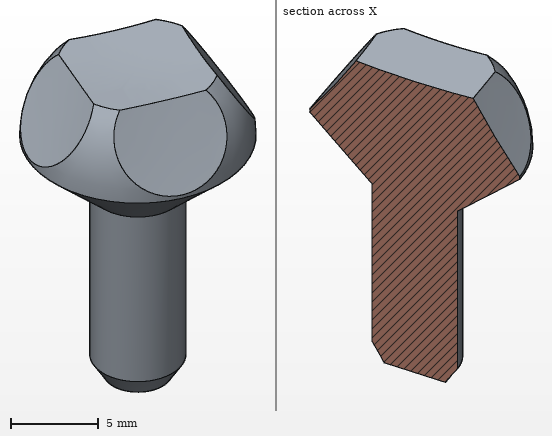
import cadquery as cq
import math

total_height = 21.45
head_radius = 6.75
rim_height = 16.53
shank_diameter = 5.5
neck_height = 12.75
tip_diameter = 3.95
tip_chamfer_height = 1.29

side_count = 4
side_distance = 5.83
side_elevation = 32.2
dish_radius = 49.95

top_distance = total_height - rim_height
shank_radius = shank_diameter / 2
tip_radius = tip_diameter / 2


def make_body():
    """Revolve the chamfered shank, conical neck and domed head as one profile."""
    dome_mid = head_radius * math.sqrt(0.5)
    return (
        cq.Workplane("XZ")
        .lineTo(tip_radius, 0)
        .lineTo(shank_radius, tip_chamfer_height)
        .lineTo(shank_radius, neck_height)
        .lineTo(head_radius, rim_height)
        .threePointArc((dome_mid, rim_height + dome_mid), (0, rim_height + head_radius))
        .close()
        .revolve(360, (0, 0, 0), (0, 1, 0))
    )


def make_dish_cutter(rim_distance, elevation):
    """Large sphere that sinks a dish into the dome, tilted up by the elevation towards +X."""
    rim_radius = math.sqrt(head_radius**2 - rim_distance**2)
    centre_distance = rim_distance + math.sqrt(dish_radius**2 - rim_radius**2)
    angle = math.radians(elevation)
    centre = (
        centre_distance * math.cos(angle),
        0,
        rim_height + centre_distance * math.sin(angle),
    )
    return cq.Workplane("XY").sphere(dish_radius).translate(centre)


result = make_body().cut(make_dish_cutter(top_distance, 90))

side_cutter = make_dish_cutter(side_distance, side_elevation)
for index in range(side_count):
    turn = index * 360 / side_count
    result = result.cut(side_cutter.rotate((0, 0, 0), (0, 0, 1), turn))